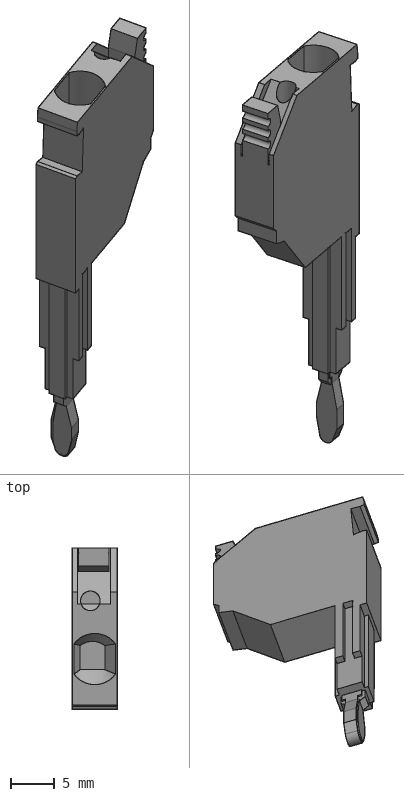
import cadquery as cq
import math

height = 53.35
width = 5.2
depth = 18.5

housing_bottom = 29.1
front_pad_bottom = 27.5
front_pad_depth = 0.8
chamfer_start_y = 13.45
chamfer_end_z = 47.9

slot_start_y = 12.05
slot_left = 0.6
slot_right = 4.4
chamfer_slope = (height - chamfer_end_z) / (depth - chamfer_start_y)
slot_back_z = height - chamfer_slope * (depth - slot_start_y)

lever_left = 0.75
lever_right = 4.2
lever_front_y = 15.8
lever_top_front_y = 16.45
lever_kink_z = 51.0
lever_floor_z = height - chamfer_slope * (lever_front_y - slot_start_y)
lever_embed = 0.55
groove_radius = 0.5
groove_inset = 0.1
groove_top_z = 52.1
groove_bottom_z = 49.05
groove_count = 3
groove_pitch = (groove_top_z - groove_bottom_z) / (groove_count - 1)

screw_hole_x = 2.1
screw_hole_y = 12.45
screw_hole_radius = 1.1
screw_hole_floor_z = 48.0

funnel_y = 5.75
funnel_radius = 2.95
funnel_side_wall = 0.2
funnel_half_width = width / 2 - funnel_side_wall
funnel_straight_depth = 6.4
funnel_taper_depth = 1.35
funnel_floor_left = 0.9
funnel_floor_right = 3.75
funnel_floor_front = 4.55
funnel_floor_shoulder = 7.3
funnel_floor_back = 7.8

column_bottom = 10.25
column_left = 0.75
column_right = 4.45
column_front = front_pad_depth
column_back = 3.85
core_left = 1.55
core_right = 3.65
core_front = 0.3
core_back = 4.3
rib_bottom = 16.45
front_rib_back = 1.7
back_rib_front = 2.9

neck_left = 1.85
neck_right = 3.15
neck_front = 0.8
neck_back = 3.75
neck_shoulder_z = 8.7
skin_left = 1.7
skin_front = 1.2
skin_back = 3.6
skin_step_z = 9.1
blade_front = 1.5
blade_back = 3.15
blade_step_y = 1.65
blade_root_z = 8.3
front_layer_left = 1.4
front_layer_tip_z = 0.25
back_layer_left = 1.05
blade_wide_top_z = 4.95
blade_wide_bottom_z = 2.25
blade_right = 3.85
blade_right_bottom_z = 3.2
blade_tip_x = 2.5
blade_tip_half_width = 0.85
blade_tip_rise = 0.6
neck_end_z = neck_shoulder_z - (blade_front - neck_front)


def box(x0, x1, y0, y1, z0, z1):
    """Axis-aligned block between two opposite corners."""
    return cq.Workplane("XY").box(x1 - x0, y1 - y0, z1 - z0, centered=False).translate((x0, y0, z0))


def side_plate(points, x0, x1):
    """Extrude a (Y, Z) outline from x0 to x1."""
    return cq.Workplane("YZ").workplane(offset=x0).polyline(points).close().extrude(x1 - x0)


def make_housing():
    """Flat body with a latch notch in the front, a rear top chamfer and a sloping rear underside."""
    latch_notch = [
        (0.5, height),
        (0.3, 52.1),
        (0.3, 51.4),
        (0.8, 51.2),
        (1.9, 51.35),
        (1.6, 44.9),
        (0.4, 45.2),
        (0, 45.05),
    ]
    rear_underside = [
        (11.65, housing_bottom),
        (16.15, 35.05),
        (17.9, 35.65),
        (17.9, 37.35),
        (depth, 38.05),
    ]
    outline = [
        *latch_notch,
        (0, front_pad_bottom),
        (front_pad_depth, front_pad_bottom),
        (front_pad_depth, housing_bottom),
        *rear_underside,
        (depth, chamfer_end_z),
        (chamfer_start_y, height),
    ]
    return side_plate(outline, 0, width)


def make_lever_slot():
    """Wedge removed behind the top face, leaving a thin wall on either side of the lever."""
    outline = [(slot_start_y, height), (depth, slot_back_z), (depth, height)]
    return side_plate(outline, slot_left, slot_right)


def make_lever():
    """Lever rising from the slot floor, with round grip grooves across its back."""
    outline = [
        (depth, height),
        (lever_top_front_y, height),
        (lever_front_y, lever_kink_z),
        (lever_front_y, lever_floor_z - lever_embed),
        (depth, slot_back_z - lever_embed),
    ]
    lever = side_plate(outline, lever_left, lever_right)
    for i in range(groove_count):
        groove = (
            cq.Workplane("YZ")
            .center(depth - groove_inset, groove_top_z - i * groove_pitch)
            .circle(groove_radius)
            .extrude(width)
        )
        lever = lever.cut(groove)
    return lever


def make_screw_hole():
    """Blind round hole whose floor rises towards the front at the chamfer slope."""
    hole_front = screw_hole_y - screw_hole_radius
    front_floor_z = screw_hole_floor_z + chamfer_slope * (slot_start_y - hole_front)
    outline = [
        (hole_front, height),
        (hole_front, front_floor_z),
        (slot_start_y, screw_hole_floor_z),
        (screw_hole_y + screw_hole_radius, screw_hole_floor_z),
        (screw_hole_y + screw_hole_radius, height),
    ]
    cylinder = (
        cq.Workplane("XY")
        .center(screw_hole_x, screw_hole_y)
        .circle(screw_hole_radius)
        .extrude(height)
    )
    return side_plate(outline, 0, width).intersect(cylinder)


def funnel_mouth(z):
    """Circle flattened on its left and right sides, at height z."""
    center_x = width / 2
    left = center_x - funnel_half_width
    right = center_x + funnel_half_width
    half_flat = math.sqrt(funnel_radius**2 - funnel_half_width**2)
    return (
        cq.Workplane("XY")
        .workplane(offset=z)
        .moveTo(left, funnel_y - half_flat)
        .lineTo(left, funnel_y + half_flat)
        .threePointArc((center_x, funnel_y + funnel_radius), (right, funnel_y + half_flat))
        .lineTo(right, funnel_y - half_flat)
        .threePointArc((center_x, funnel_y - funnel_radius), (left, funnel_y - half_flat))
        .close()
    )


def make_funnel():
    """Straight wire entry, then a taper to a smaller floor with an arched back."""
    taper_top_z = height - funnel_straight_depth
    floor_middle = (funnel_floor_left + funnel_floor_right) / 2
    straight = funnel_mouth(taper_top_z).extrude(funnel_straight_depth)
    taper = (
        funnel_mouth(taper_top_z)
        .workplane(offset=-funnel_taper_depth)
        .moveTo(funnel_floor_left, funnel_floor_front)
        .lineTo(funnel_floor_left, funnel_floor_shoulder)
        .threePointArc((floor_middle, funnel_floor_back), (funnel_floor_right, funnel_floor_shoulder))
        .lineTo(funnel_floor_right, funnel_floor_front)
        .close()
        .loft(ruled=True)
    )
    return straight.union(taper)


def make_column():
    """Plug column with a raised core front and back and two ribs on each side."""
    column = box(column_left, column_right, column_front, column_back, column_bottom, housing_bottom)
    core = box(core_left, core_right, core_front, core_back, column_bottom, housing_bottom)
    front_ribs = box(0, width, column_front, front_rib_back, rib_bottom, housing_bottom)
    back_ribs = box(0, width, back_rib_front, column_back, rib_bottom, housing_bottom)
    return column.union(core).union(front_ribs).union(back_ribs)


def make_neck():
    """Chamfered contact neck with a thin stepped skin on its left face."""
    outline = [
        (neck_front, column_bottom),
        (neck_front, neck_shoulder_z),
        (blade_front, neck_end_z),
        (blade_back, neck_end_z),
        (neck_back, neck_shoulder_z),
        (neck_back, column_bottom),
    ]
    neck = side_plate(outline, neck_left, neck_right)
    skin = box(skin_left, neck_left, skin_front, skin_back, skin_step_z, column_bottom)
    skin_foot = box(skin_left, neck_left, blade_step_y, blade_back, blade_root_z, skin_step_z)
    return neck.union(skin).union(skin_foot)


def make_blade_layer(y0, y1, root_left, wide_left, tip_z):
    """Leaf-shaped layer of the blade between y0 and y1, with a rounded tip."""
    tip_left = (blade_tip_x - blade_tip_half_width, tip_z + blade_tip_rise)
    tip_right = (blade_tip_x + blade_tip_half_width, tip_z + blade_tip_rise)
    return (
        cq.Workplane("XZ")
        .workplane(offset=-y1)
        .moveTo(root_left, blade_root_z)
        .lineTo(wide_left, blade_wide_top_z)
        .lineTo(wide_left, blade_wide_bottom_z)
        .lineTo(*tip_left)
        .threePointArc((blade_tip_x, tip_z), tip_right)
        .lineTo(blade_right, blade_right_bottom_z)
        .lineTo(blade_right, blade_wide_top_z)
        .lineTo(neck_right, neck_end_z)
        .lineTo(neck_right, blade_root_z)
        .close()
        .extrude(y1 - y0)
    )


front_layer = make_blade_layer(blade_front, blade_step_y, neck_left, front_layer_left, front_layer_tip_z)
back_layer = make_blade_layer(blade_step_y, blade_back, skin_left, back_layer_left, 0)

result = (
    make_housing()
    .cut(make_lever_slot())
    .cut(make_screw_hole())
    .cut(make_funnel())
    .union(make_lever())
    .union(make_column())
    .union(make_neck())
    .union(back_layer)
    .union(front_layer)
)